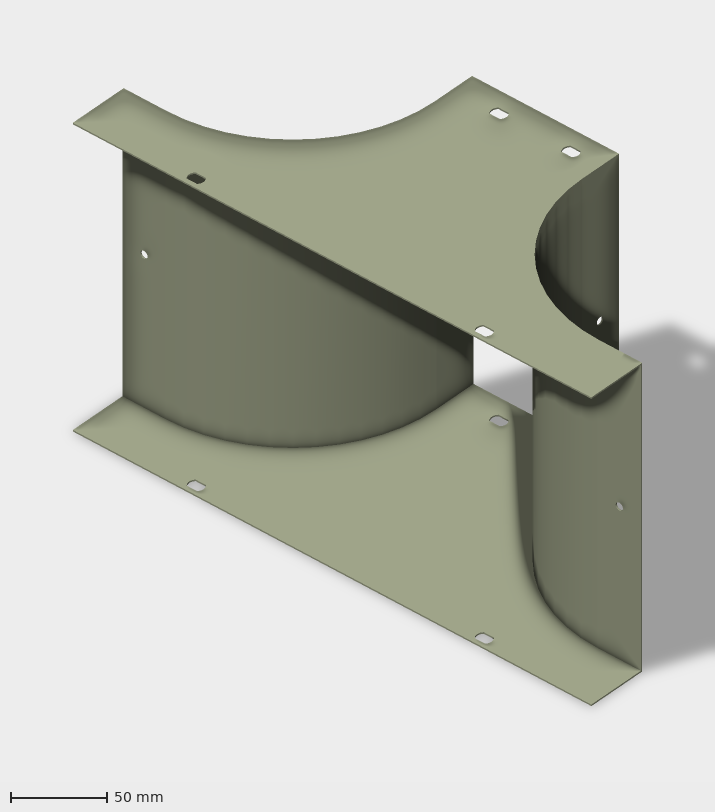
import cadquery as cq
import math

sheet = 1.0
height = 201.0
length = 360.0
depth = 168.0
channel_width = 100.0
bend_radius = 100.0
edge_to_wall = 39.0

half_neck = channel_width / 2
half_length = length / 2

slot_length = 10.0
slot_width = 7.0
slot_end_radius = 5.0
slot_end_rise = slot_end_radius - math.sqrt(slot_end_radius**2 - (slot_width / 2) ** 2)
slot_flat = slot_length - 2 * slot_end_rise

hole_inset = 15.0

neck_slot_spacing = 50.0
neck_slot_offset = 6.0
neck_slot_y = depth - hole_inset
edge_slot_spacing = 200.0
edge_slot_y = 6.5

wall_hole_diameter = 5.0
wall_hole_x = half_length - hole_inset
wall_hole_y = depth - hole_inset


def tee_body(offset):
    """Full-height tee whose curved sides lie `offset` outside the clear channel."""
    neck_x = half_neck + offset
    side_y = edge_to_wall + offset
    radius = bend_radius - offset
    curve_end_x = neck_x + radius
    curve_end_y = side_y + radius
    return (
        cq.Workplane("XY", origin=(0, 0, -height / 2))
        .moveTo(-half_length, 0)
        .lineTo(half_length, 0)
        .lineTo(half_length, side_y)
        .lineTo(curve_end_x, side_y)
        .radiusArc((neck_x, curve_end_y), radius)
        .lineTo(neck_x, depth)
        .lineTo(-neck_x, depth)
        .lineTo(-neck_x, curve_end_y)
        .radiusArc((-curve_end_x, side_y), radius)
        .lineTo(-half_length, side_y)
        .close()
        .extrude(height)
    )


def channel_space():
    """Clear space between the plates and inside the walls."""
    clear_height = height - 2 * sheet
    slab = cq.Workplane("XY").rect(length, 2 * depth).extrude(clear_height / 2, both=True)
    return tee_body(0).intersect(slab)


def plate_slots():
    """Cutters through both plates: flat-sided slots with shallow arc ends."""
    half_flat = slot_flat / 2
    half_width = slot_width / 2
    profile = (
        cq.Workplane("XY")
        .moveTo(-half_flat, half_width)
        .lineTo(half_flat, half_width)
        .threePointArc((slot_length / 2, 0), (half_flat, -half_width))
        .lineTo(-half_flat, -half_width)
        .threePointArc((-slot_length / 2, 0), (-half_flat, half_width))
        .close()
    )
    slot = profile.extrude(height, both=True)
    cutters = cq.Workplane("XY")
    for side in (-1, 1):
        neck_slot_x = neck_slot_offset + side * neck_slot_spacing / 2
        edge_slot_x = side * edge_slot_spacing / 2
        cutters = cutters.add(slot.translate((neck_slot_x, neck_slot_y, 0)))
        cutters = cutters.add(slot.translate((edge_slot_x, edge_slot_y, 0)))
    return cutters.combine()


def wall_holes():
    """Round cutters through the flat ends of the walls at mid-height."""
    radius = wall_hole_diameter / 2
    side_holes = (
        cq.Workplane("XZ")
        .pushPoints([(-wall_hole_x, 0), (wall_hole_x, 0)])
        .circle(radius)
        .extrude(-depth)
    )
    neck_holes = (
        cq.Workplane("YZ")
        .center(wall_hole_y, 0)
        .circle(radius)
        .extrude(half_length, both=True)
    )
    return side_holes.union(neck_holes)


shell = tee_body(sheet).cut(channel_space())
result = shell.cut(plate_slots()).cut(wall_holes())